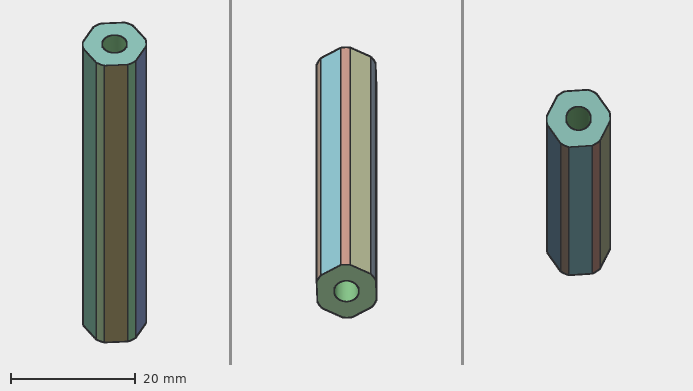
import cadquery as cq
import math

length = 63.5
across_flats = 9.5
corner_trim = 0.375
bore_diameter = 4.0

side_count = 6
half_side_angle = 180 / side_count
sharp_corner_diameter = across_flats / math.cos(math.radians(half_side_angle))
rounded_corner_diameter = sharp_corner_diameter - 2 * corner_trim


def hexagonal_bar():
    """Hexagonal bar with flats facing +X and -X."""
    bar = cq.Workplane("XY").polygon(side_count, sharp_corner_diameter).extrude(length)
    return bar.rotate((0, 0, 0), (0, 0, 1), half_side_angle)


def cylinder(diameter):
    """Full-length cylinder on the bar axis."""
    return cq.Workplane("XY").circle(diameter / 2).extrude(length)


rounded_bar = hexagonal_bar().intersect(cylinder(rounded_corner_diameter))
result = rounded_bar.cut(cylinder(bore_diameter))